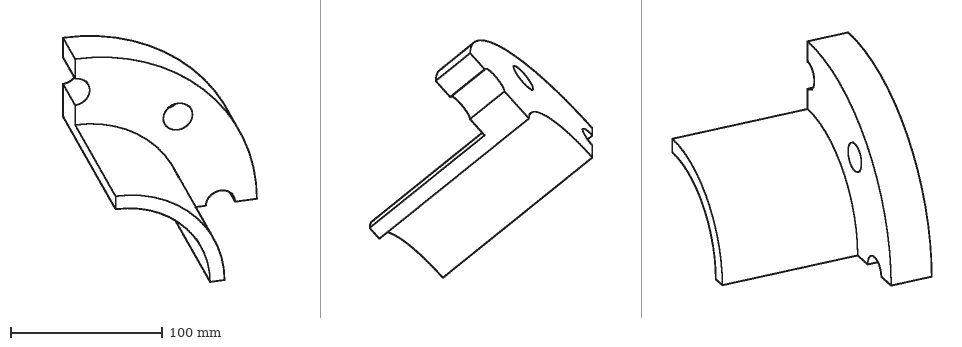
import cadquery as cq
import math

length = 130.0
bore_radius = 65.0
sleeve_radius = 75.0
flange_radius = 125.0
flange_thickness = 30.0
bolt_circle_radius = 100.0
bolt_hole_diameter = 20.0
bolt_hole_angles = (0, 45, 90)


def quarter_ring(outer_radius, depth):
    """Quarter ring around the bore, in the +Y +Z quadrant, starting at X = 0."""
    diagonal = math.sqrt(0.5)
    return (
        cq.Workplane("YZ")
        .moveTo(bore_radius, 0)
        .lineTo(outer_radius, 0)
        .threePointArc((outer_radius * diagonal, outer_radius * diagonal), (0, outer_radius))
        .lineTo(0, bore_radius)
        .threePointArc((bore_radius * diagonal, bore_radius * diagonal), (bore_radius, 0))
        .close()
        .extrude(depth)
    )


def bolt_holes():
    """Cylinders through the flange; the end ones are halved by the cut faces."""
    centers = [
        (
            bolt_circle_radius * math.cos(math.radians(angle)),
            bolt_circle_radius * math.sin(math.radians(angle)),
        )
        for angle in bolt_hole_angles
    ]
    return (
        cq.Workplane("YZ")
        .pushPoints(centers)
        .circle(bolt_hole_diameter / 2)
        .extrude(flange_thickness)
    )


sleeve = quarter_ring(sleeve_radius, length)
flange = quarter_ring(flange_radius, flange_thickness)
result = sleeve.union(flange).cut(bolt_holes())